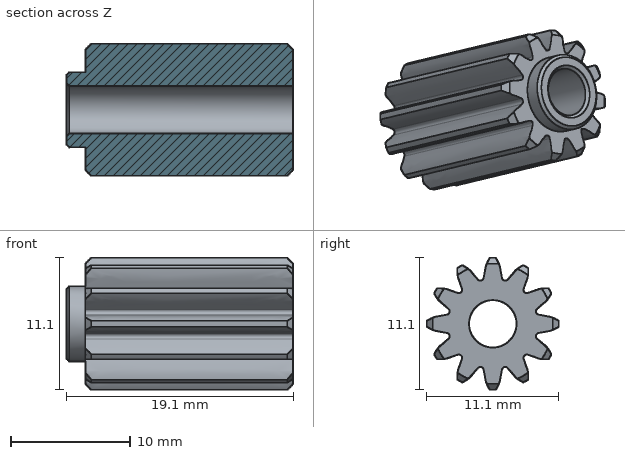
import cadquery as cq
import math

INCH = 25.4

tooth_count = 12
module = INCH / 32
pressure_angle = math.radians(20)
dedendum_factor = 1.25
root_fillet_radius = 0.27

pitch_radius = tooth_count * module / 2
base_radius = pitch_radius * math.cos(pressure_angle)
tip_radius = pitch_radius + module
root_radius = pitch_radius - dedendum_factor * module

overall_length = 0.75 * INCH
hub_length = INCH / 16
face_width = overall_length - hub_length
hub_end_x = -overall_length / 2
gear_start_x = hub_end_x + hub_length

hub_diameter = 0.25 * INCH
bore_diameter = 5 / 32 * INCH
edge_chamfer = 0.25
tooth_chamfer = 0.5

involute_points = 5
cut_clearance = 1.0


def polar(radius, angle):
    return (radius * math.cos(angle), radius * math.sin(angle))


def involute(angle):
    return math.tan(angle) - angle


def half_gap_angle(radius):
    """Half the angular width of the gap between two teeth on the involute at this radius."""
    half_pitch_gap = math.pi / (2 * tooth_count)
    local_pressure_angle = math.acos(min(1.0, base_radius / radius))
    return half_pitch_gap - involute(pressure_angle) + involute(local_pressure_angle)


def rotate(point, angle):
    x, y = point
    return (
        x * math.cos(angle) - y * math.sin(angle),
        x * math.sin(angle) + y * math.cos(angle),
    )


def root_round_end():
    """Point where the flank meets the root round, and the unit flank direction leaving it.

    The gap is centred on the local X axis, and the point is on its +Y side. The direction is
    that of the straight line tangent to the round through the start of the involute.
    """
    centre = root_radius + root_fillet_radius
    base_x, base_y = polar(base_radius, half_gap_angle(base_radius))
    distance = math.hypot(base_x - centre, base_y)
    normal_angle = math.atan2(base_y, base_x - centre) + math.acos(root_fillet_radius / distance)
    x, y = polar(root_fillet_radius, normal_angle)
    return (centre + x, y), polar(1, normal_angle - math.pi / 2)


def flank_spline(outline, points, tangents, angle):
    """Continue the outline along one tooth flank of the gap turned to the given angle."""
    return outline.spline(
        [rotate(p, angle) for p in points],
        tangents=[rotate(t, angle) for t in tangents],
        includeCurrent=True,
    )


def gear_outline():
    """Closed tooth outline in the YZ plane, with a tooth centred on the Y axis."""
    pitch_angle = 2 * math.pi / tooth_count
    radius_step = (tip_radius - base_radius) / (involute_points - 1)
    radii = [base_radius + i * radius_step for i in range(involute_points)]
    round_end, leaving = root_round_end()
    rising = [round_end] + [polar(r, half_gap_angle(r)) for r in radii]
    falling = [(x, -y) for x, y in reversed(rising)]

    tip_direction = half_gap_angle(tip_radius) + math.acos(base_radius / tip_radius)
    rising_tangents = [leaving, polar(1, tip_direction)]
    falling_tangents = [(-x, y) for x, y in reversed(rising_tangents)]

    outline = cq.Workplane("YZ", origin=(gear_start_x, 0, 0))
    outline = outline.moveTo(*rotate(falling[0], pitch_angle / 2))
    for gap in range(tooth_count):
        gap_angle = (gap + 0.5) * pitch_angle
        next_tooth_angle = gap_angle + pitch_angle / 2
        outline = flank_spline(outline, falling[1:], falling_tangents, gap_angle)
        outline = outline.threePointArc(
            polar(root_radius, gap_angle),
            rotate(round_end, gap_angle),
        )
        outline = flank_spline(outline, rising[1:], rising_tangents, gap_angle)
        outline = outline.threePointArc(
            polar(tip_radius, next_tooth_angle),
            rotate(falling[0], gap_angle + pitch_angle),
        )
    return outline.close()


def make_gear():
    """Toothed body with the tooth tips chamfered at both ends."""
    teeth = gear_outline().extrude(face_width)
    envelope = (
        cq.Workplane("YZ", origin=(gear_start_x, 0, 0))
        .circle(tip_radius)
        .extrude(face_width)
        .edges("%CIRCLE")
        .chamfer(tooth_chamfer)
    )
    return teeth.intersect(envelope)


def make_hub():
    return (
        cq.Workplane("YZ", origin=(hub_end_x, 0, 0))
        .circle(hub_diameter / 2)
        .extrude(hub_length)
        .faces("<X")
        .chamfer(edge_chamfer)
    )


def make_bore():
    """Through bore with a conical lead-in at the hub end."""
    bore = (
        cq.Workplane("YZ", origin=(hub_end_x - cut_clearance, 0, 0))
        .circle(bore_diameter / 2)
        .extrude(overall_length + 2 * cut_clearance)
    )
    lead_in = cq.Workplane(
        cq.Solid.makeCone(
            bore_diameter / 2 + edge_chamfer,
            bore_diameter / 2,
            edge_chamfer,
            pnt=cq.Vector(hub_end_x, 0, 0),
            dir=cq.Vector(1, 0, 0),
        )
    )
    return bore.union(lead_in)


result = make_gear().union(make_hub()).cut(make_bore())